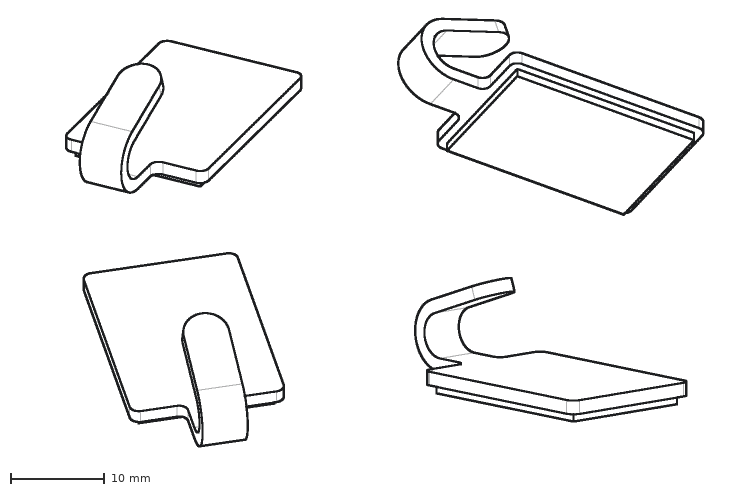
import cadquery as cq
import math

total_length = 32.0
plate_width = 17.0
plate_length = 24.0
sheet_thickness = 1.5
corner_radius = 1.0
pad_thickness = 1.0
pad_inset = 1.0
hook_width = 5.0
bend_radius = 4.0
arm_tilt = 20.0
arm_length = 9.38

hook_reach = total_length - plate_length
bend_y = bend_radius - hook_reach
bend_z = bend_radius
inner_radius = bend_radius - sheet_thickness
tip_radius = hook_width / 2
straight_length = arm_length - tip_radius
tilt = math.radians(arm_tilt)


def bend_point(radius, angle):
    """Point (Y, Z) at a radius and angle about the bend axis."""
    return bend_y + radius * math.cos(angle), bend_z + radius * math.sin(angle)


def make_plate():
    """Flat plate with rounded vertical corners."""
    plate = cq.Workplane("XY").box(plate_width, plate_length, sheet_thickness, centered=(True, False, False))
    return plate.edges("|Z").fillet(corner_radius)


def make_neck_and_bend():
    """Strip running forward from the plate and curling up to the start of the arm."""
    bend_end = math.pi / 2 + tilt
    bend_middle = (3 * math.pi / 2 + bend_end) / 2
    return (
        cq.Workplane("YZ")
        .moveTo(corner_radius, 0)
        .lineTo(bend_y, 0)
        .threePointArc(bend_point(bend_radius, bend_middle), bend_point(bend_radius, bend_end))
        .lineTo(*bend_point(inner_radius, bend_end))
        .threePointArc(bend_point(inner_radius, bend_middle), (bend_y, sheet_thickness))
        .lineTo(corner_radius, sheet_thickness)
        .close()
        .extrude(hook_width / 2, both=True)
    )


def make_arm():
    """Tilted straight arm with a fully rounded tip, starting where the bend ends."""
    start_y, start_z = bend_point(inner_radius, math.pi / 2 + tilt)
    arm_plane = cq.Plane(
        origin=(0, start_y, start_z),
        xDir=(1, 0, 0),
        normal=(0, -math.sin(tilt), math.cos(tilt)),
    )
    return (
        cq.Workplane(arm_plane)
        .moveTo(-tip_radius, 0)
        .lineTo(-tip_radius, straight_length)
        .threePointArc((0, arm_length), (tip_radius, straight_length))
        .lineTo(tip_radius, 0)
        .close()
        .extrude(sheet_thickness)
    )


def make_neck_fillet(side):
    """Concave fillet between the plate's front edge and one side of the neck."""
    neck_x = side * hook_width / 2
    outer_x = neck_x + side * corner_radius
    arc_offset = corner_radius * (1 - math.sqrt(0.5))
    return (
        cq.Workplane("XY")
        .moveTo(neck_x, 0)
        .lineTo(outer_x, 0)
        .threePointArc((neck_x + side * arc_offset, -arc_offset), (neck_x, -corner_radius))
        .close()
        .extrude(sheet_thickness)
    )


def make_hook():
    """Sheet-metal hook: plate, neck, bend and arm in one piece."""
    hook = make_plate().union(make_neck_and_bend()).union(make_arm())
    for side in (-1, 1):
        hook = hook.union(make_neck_fillet(side))
    return hook


def make_pad():
    """Rectangular backing pad on the underside of the plate."""
    pad_width = plate_width - 2 * pad_inset
    pad_length = plate_length - 2 * pad_inset
    return (
        cq.Workplane("XY", origin=(0, plate_length / 2, -pad_thickness))
        .box(pad_width, pad_length, pad_thickness, centered=(True, True, False))
    )


hook = make_hook()
pad = make_pad()
result = cq.Compound.makeCompound([hook.solids().val(), pad.val()])